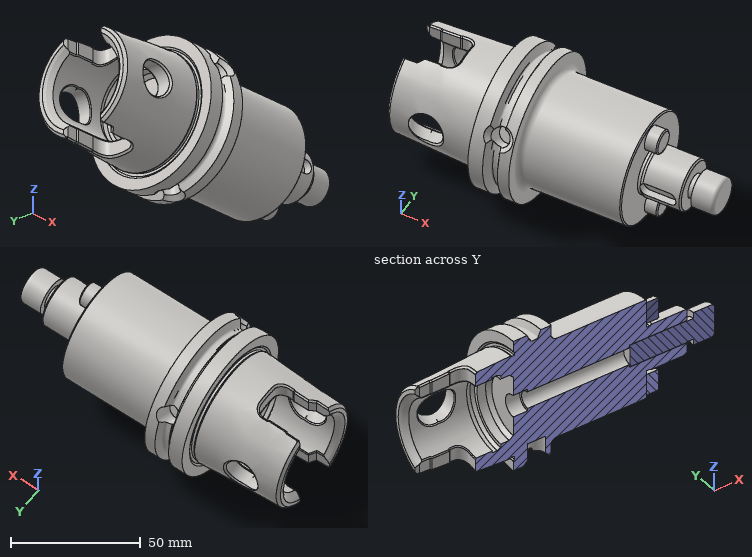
import cadquery as cq
import math


SHANK_LENGTH = 40.0
GAUGE_RADIUS = 25.0
TAPER_SLOPE = 0.05
SHANK_CHAMFER = 1.2
NECK_RADIUS = 24.5
NECK_LENGTH = 1.2
FACE_RELIEF_RADIUS = 26.6
FACE_RELIEF_SLOPE_WIDTH = 0.8
FACE_RELIEF_DEPTH = 0.5

MOUTH_RADIUS = 20.1
LEAD_IN_RADIUS = 18.9
LEAD_IN_DEPTH = 1.0
BORE_RADIUS = 17.3
BORE_CONE_DEPTH = 2.0
UNDERCUT_RADIUS = 18.1
UNDERCUT_START_X = -9.7
UNDERCUT_CONE_X = -7.5
UNDERCUT_END_X = -6.0
RECESS_RADIUS = 15.7
RECESS_FLOOR_RADIUS = 14.2
RECESS_FLOOR_X = 0.0
RECESS_CONE_LENGTH = 1.9

COOLANT_BORE_RADIUS = 5.1
COOLANT_BORE_DEPTH = 6.7
COOLANT_PASSAGE_RADIUS = 3.9

CROSS_HOLE_X = -22.4
CROSS_HOLE_RADIUS = 7.2
CROSS_HOLE_CHAMFER = 0.8
CROSS_HOLE_LEAN = 22.0
LEANING_HOLE_LENGTH = 12.1
CROSS_HOLE_INNER_CHAMFER = 0.4

SLOT_END_X = -18.0
SLOT_HALF_WIDTH = 7.8
SLOT_CORNER_RADIUS = 3.9
SLOT_RELIEF = 0.4
SLOT_RELIEF_START_X = -24.5
SLOT_RELIEF_RAMP = 0.7
SLOT_LEAD_START_X = -33.5
SLOT_LEAD_RAMP = 0.8
MOUTH_CHAMFER_WIDTH = 0.8
MOUTH_CHAMFER_LENGTH = 1.6
MOUTH_STEP_Y = -10.1
MOUTH_STEP_X = -33.7
MOUTH_STEP_RAMP = 2.3
SLOT_CHAMFER = 0.8
SLOT_INNER_CHAMFER = 0.4

FLANGE_RADIUS = 31.5
FLANGE_WIDTH = 18.0
GROOVE_START_X = 6.5
GROOVE_WALL_X = 8.1
GROOVE_WALL_RADIUS = 28.6
GROOVE_FLOOR_START_X = 8.9
GROOVE_FLOOR_END_X = 10.5
GROOVE_FLOOR_RADIUS = 27.8
GROOVE_FLANK_X = 11.7
GROOVE_FLANK_RADIUS = 28.5
GROOVE_END_X = 13.0
GROOVE_BLEND_RADIUS = 1.3

NOTCH_X = 11.0
NOTCH_RADIUS = 4.0
NOTCH_FLOOR_DISTANCE = 21.3
NOTCH_SINK_RADIUS = 6.2
PLAIN_NOTCH_ANGLES = [30]
SUNK_NOTCH_ANGLES = [150, 270]

BODY_RADIUS = 24.0
BODY_END_X = 63.0
BODY_FILLET = 2.8
BODY_CHAMFER = 0.5

PILOT_RADIUS = 11.0
PILOT_END_X = 82.0
PILOT_CHAMFER = 0.7
PILOT_RELIEF_RADIUS = 10.7
PILOT_RELIEF_LENGTH = 1.2
PILOT_RELIEF_RAMP = 1.2
KEYWAY_START_X = 64.1
KEYWAY_END_X = 80.0
KEYWAY_WIDTH = 6.1
KEYWAY_DEPTH = 3.5

SCREW_SHANK_RADIUS = 5.1
SCREW_SHANK_LENGTH = 30.0
SCREW_HEAD_RADIUS = 8.0
SCREW_HEAD_START_X = 84.9
OVERALL_LENGTH = 135.0
SCREW_END_X = OVERALL_LENGTH - SHANK_LENGTH
SCREW_HEAD_FILLET = 1.6

PIN_RADIUS = 5.1
PIN_HEIGHT = 5.7
PIN_OFFSET = 17.4
PIN_CHAMFER = 0.5

SHANK_END_X = -SHANK_LENGTH
SCREW_TIP_X = SCREW_HEAD_START_X - SCREW_SHANK_LENGTH
TOLERANCE = 0.01


def revolve_profile(sketch):
    """Turn an outline drawn as (x, radius) about the X axis."""
    return sketch.close().revolve(360, (0, 0, 0), (1, 0, 0))


def rod(start_x, end_x, radius):
    """Solid cylinder along the X axis."""
    return cq.Workplane("YZ", origin=(start_x, 0, 0)).circle(radius).extrude(end_x - start_x)


def taper_radius(x):
    return GAUGE_RADIUS + TAPER_SLOPE * (x + NECK_LENGTH)


def bore_radius(x):
    return BORE_RADIUS


def make_shank():
    chamfer_x = SHANK_END_X + SHANK_CHAMFER
    outline = (
        cq.Workplane("XZ")
        .moveTo(SHANK_END_X, 0)
        .lineTo(SHANK_END_X, taper_radius(chamfer_x) - SHANK_CHAMFER)
        .lineTo(chamfer_x, taper_radius(chamfer_x))
        .lineTo(-NECK_LENGTH, GAUGE_RADIUS)
        .lineTo(-NECK_LENGTH / 2, NECK_RADIUS)
        .lineTo(FACE_RELIEF_DEPTH, NECK_RADIUS)
        .lineTo(FACE_RELIEF_DEPTH, 0)
    )
    return revolve_profile(outline)


def make_bore_mouth():
    """Two cones that open the bore; the inner one runs on to a point inside the bore."""
    cone_start_x = SHANK_END_X + LEAD_IN_DEPTH
    apex_x = cone_start_x + BORE_CONE_DEPTH * LEAD_IN_RADIUS / (LEAD_IN_RADIUS - BORE_RADIUS)
    outline = (
        cq.Workplane("XZ")
        .moveTo(SHANK_END_X, 0)
        .lineTo(SHANK_END_X, MOUTH_RADIUS)
        .lineTo(cone_start_x, LEAD_IN_RADIUS)
        .lineTo(apex_x, 0)
    )
    return revolve_profile(outline)


def make_shank_bore():
    outline = (
        cq.Workplane("XZ")
        .moveTo(SHANK_END_X, 0)
        .lineTo(SHANK_END_X, BORE_RADIUS)
        .lineTo(UNDERCUT_START_X, BORE_RADIUS)
        .lineTo(UNDERCUT_START_X, UNDERCUT_RADIUS)
        .lineTo(UNDERCUT_CONE_X, UNDERCUT_RADIUS)
        .lineTo(UNDERCUT_END_X, BORE_RADIUS)
        .lineTo(UNDERCUT_END_X, RECESS_RADIUS)
        .lineTo(RECESS_FLOOR_X - RECESS_CONE_LENGTH, RECESS_RADIUS)
        .lineTo(RECESS_FLOOR_X, RECESS_FLOOR_RADIUS)
        .lineTo(RECESS_FLOOR_X, 0)
    )
    return revolve_profile(outline)


def make_drive_slot():
    corner_y = SLOT_HALF_WIDTH + SLOT_RELIEF
    corner_x = SLOT_END_X - SLOT_CORNER_RADIUS
    relief_x = SLOT_RELIEF_START_X + SLOT_RELIEF_RAMP
    back_y = corner_y - SLOT_CORNER_RADIUS
    return (
        cq.Workplane("XY", origin=(0, 0, -FLANGE_RADIUS))
        .moveTo(SHANK_END_X, MOUTH_STEP_Y)
        .lineTo(SHANK_END_X, corner_y + MOUTH_CHAMFER_WIDTH)
        .lineTo(SHANK_END_X + MOUTH_CHAMFER_LENGTH, corner_y)
        .lineTo(SLOT_LEAD_START_X, corner_y)
        .lineTo(SLOT_LEAD_START_X + SLOT_LEAD_RAMP, SLOT_HALF_WIDTH)
        .lineTo(SLOT_RELIEF_START_X, SLOT_HALF_WIDTH)
        .lineTo(relief_x, corner_y)
        .lineTo(corner_x, corner_y)
        .radiusArc((SLOT_END_X, back_y), SLOT_CORNER_RADIUS)
        .lineTo(SLOT_END_X, -back_y)
        .radiusArc((corner_x, -corner_y), SLOT_CORNER_RADIUS)
        .lineTo(relief_x, -corner_y)
        .lineTo(SLOT_RELIEF_START_X, -SLOT_HALF_WIDTH)
        .lineTo(MOUTH_STEP_X + MOUTH_STEP_RAMP, -SLOT_HALF_WIDTH)
        .lineTo(MOUTH_STEP_X, MOUTH_STEP_Y)
        .close()
        .extrude(2 * FLANGE_RADIUS)
    )


def make_cross_hole():
    return (
        cq.Workplane("XZ", origin=(CROSS_HOLE_X, FLANGE_RADIUS, 0))
        .circle(CROSS_HOLE_RADIUS)
        .extrude(2 * FLANGE_RADIUS)
    )


def make_leaning_hole(side):
    """Bore that enters the wall with the cross hole on one Y side and leans towards -X."""
    lean = math.radians(CROSS_HOLE_LEAN)
    outer_point = cq.Vector(CROSS_HOLE_X, side * taper_radius(CROSS_HOLE_X), 0)
    inward = cq.Vector(-math.sin(lean), -side * math.cos(lean), 0)
    return cq.Workplane(
        cq.Solid.makeCylinder(CROSS_HOLE_RADIUS, LEANING_HOLE_LENGTH, outer_point, inward)
    )


def faces_z(edge):
    """True for an edge that is nearer to the Z axis than to the Y axis, such as a slot rim."""
    middle = edge.Center()
    return abs(middle.z) > abs(middle.y)


def lies_on(edge, radius_at):
    """True for an edge on the turned surface whose radius at X is radius_at(X)."""
    points = [edge.positionAt(t) for t in (0.1, 0.5, 0.9)]
    return all(abs(math.hypot(p.y, p.z) - radius_at(p.x)) < TOLERANCE for p in points)


def is_seam(edge):
    """True for the straight seam that a turned surface has at Y = 0."""
    return abs(edge.positionAt(0).y) + abs(edge.positionAt(1).y) < TOLERANCE


def chamfer_rims(shank, radius_at, of_slot, size):
    """Chamfer the rims that the slot, or else the cross holes, leave on one turned surface."""
    rims = [
        edge
        for edge in shank.edges().vals()
        if edge.geomType() != "CIRCLE"
        and edge.Center().x < SLOT_END_X + SLOT_CHAMFER
        and faces_z(edge) == of_slot
        and lies_on(edge, radius_at)
        and not is_seam(edge)
    ]
    return shank.newObject(rims).chamfer(size)


def make_hollow_shank():
    shank = make_shank().cut(make_shank_bore()).cut(make_cross_hole())
    shank = chamfer_rims(shank, taper_radius, False, CROSS_HOLE_CHAMFER)
    for side in (1, -1):
        shank = shank.cut(make_leaning_hole(side))
    shank = chamfer_rims(shank, bore_radius, False, CROSS_HOLE_INNER_CHAMFER)
    shank = shank.cut(make_drive_slot())
    shank = chamfer_rims(shank, taper_radius, True, SLOT_CHAMFER)
    shank = chamfer_rims(shank, bore_radius, True, SLOT_INNER_CHAMFER)
    return shank.cut(make_bore_mouth())


def make_flange():
    outline = (
        cq.Workplane("XZ")
        .moveTo(0, 0)
        .lineTo(0, FLANGE_RADIUS)
        .lineTo(GROOVE_START_X, FLANGE_RADIUS)
        .lineTo(GROOVE_WALL_X, GROOVE_WALL_RADIUS)
        .radiusArc(
            (GROOVE_FLOOR_START_X, GROOVE_FLOOR_RADIUS),
            -(GROOVE_WALL_RADIUS - GROOVE_FLOOR_RADIUS),
        )
        .lineTo(GROOVE_FLOOR_END_X, GROOVE_FLOOR_RADIUS)
        .radiusArc((GROOVE_FLANK_X, GROOVE_FLANK_RADIUS), -GROOVE_BLEND_RADIUS)
        .lineTo(GROOVE_END_X, FLANGE_RADIUS)
        .lineTo(FLANGE_WIDTH, FLANGE_RADIUS)
        .lineTo(FLANGE_WIDTH, 0)
    )
    return revolve_profile(outline)


def make_face_relief():
    """Ring with a sloped outer wall, cut around the neck."""
    outline = (
        cq.Workplane("XZ")
        .moveTo(0, NECK_RADIUS)
        .lineTo(0, FACE_RELIEF_RADIUS)
        .lineTo(FACE_RELIEF_DEPTH, FACE_RELIEF_RADIUS - FACE_RELIEF_SLOPE_WIDTH)
        .lineTo(FACE_RELIEF_DEPTH, NECK_RADIUS)
    )
    return revolve_profile(outline)


def make_notch(angle, sunk):
    """Radial hole into the groove, with an optional 45 degree countersink."""
    sink_depth = NOTCH_SINK_RADIUS - NOTCH_RADIUS
    notch = (
        cq.Workplane("XY", origin=(NOTCH_X, 0, NOTCH_FLOOR_DISTANCE))
        .circle(NOTCH_RADIUS)
        .extrude(FLANGE_RADIUS + sink_depth - NOTCH_FLOOR_DISTANCE)
    )
    if sunk:
        sink = (
            cq.Workplane("XY", origin=(NOTCH_X, 0, FLANGE_RADIUS - sink_depth))
            .circle(NOTCH_RADIUS)
            .workplane(offset=2 * sink_depth)
            .circle(NOTCH_SINK_RADIUS + sink_depth)
            .loft()
        )
        notch = notch.union(sink)
    return notch.rotate((0, 0, 0), (1, 0, 0), angle - 90)


def make_body():
    fillet_end_x = FLANGE_WIDTH + BODY_FILLET
    outline = (
        cq.Workplane("XZ")
        .moveTo(0, 0)
        .lineTo(0, BODY_RADIUS)
        .lineTo(FLANGE_WIDTH, BODY_RADIUS)
        .lineTo(FLANGE_WIDTH, BODY_RADIUS + BODY_FILLET)
        .radiusArc((fillet_end_x, BODY_RADIUS), -BODY_FILLET)
        .lineTo(BODY_END_X - BODY_CHAMFER, BODY_RADIUS)
        .lineTo(BODY_END_X, BODY_RADIUS - BODY_CHAMFER)
        .lineTo(BODY_END_X, 0)
    )
    return revolve_profile(outline)


def make_pilot():
    relief_end_x = BODY_END_X + PILOT_RELIEF_LENGTH
    outline = (
        cq.Workplane("XZ")
        .moveTo(BODY_END_X, 0)
        .lineTo(BODY_END_X, PILOT_RELIEF_RADIUS)
        .lineTo(relief_end_x, PILOT_RELIEF_RADIUS)
        .lineTo(relief_end_x + PILOT_RELIEF_RAMP, PILOT_RADIUS)
        .lineTo(PILOT_END_X - PILOT_CHAMFER, PILOT_RADIUS)
        .lineTo(PILOT_END_X, PILOT_RADIUS - PILOT_CHAMFER)
        .lineTo(PILOT_END_X, 0)
    )
    return revolve_profile(outline)


def make_keyway():
    """Round-ended pocket in the -Y side of the pilot."""
    middle_x = (KEYWAY_START_X + KEYWAY_END_X) / 2
    floor_y = KEYWAY_DEPTH - PILOT_RADIUS
    return (
        cq.Workplane("XZ", origin=(middle_x, floor_y, 0))
        .slot2D(KEYWAY_END_X - KEYWAY_START_X, KEYWAY_WIDTH)
        .extrude(2 * KEYWAY_DEPTH)
    )


def make_holder():
    holder = make_flange().cut(make_face_relief())
    holder = holder.union(make_body()).union(make_pilot())
    holder = holder.cut(make_shank_bore())
    holder = holder.union(make_hollow_shank())
    for angle in PLAIN_NOTCH_ANGLES:
        holder = holder.cut(make_notch(angle, sunk=False))
    for angle in SUNK_NOTCH_ANGLES:
        holder = holder.cut(make_notch(angle, sunk=True))
    holder = holder.cut(make_keyway())
    holder = holder.cut(rod(RECESS_FLOOR_X, RECESS_FLOOR_X + COOLANT_BORE_DEPTH, COOLANT_BORE_RADIUS))
    holder = holder.cut(rod(RECESS_FLOOR_X, SCREW_TIP_X, COOLANT_PASSAGE_RADIUS))
    return holder.cut(rod(SCREW_TIP_X, PILOT_END_X, SCREW_SHANK_RADIUS))


def make_screw():
    head = rod(SCREW_HEAD_START_X, SCREW_END_X, SCREW_HEAD_RADIUS)
    head = head.faces(">X").edges().fillet(SCREW_HEAD_FILLET)
    return head.union(rod(SCREW_TIP_X, SCREW_HEAD_START_X, SCREW_SHANK_RADIUS))


def make_drive_pin(z):
    pin = (
        cq.Workplane("YZ", origin=(BODY_END_X, 0, z))
        .circle(PIN_RADIUS)
        .extrude(PIN_HEIGHT)
    )
    return pin.faces(">X").edges().chamfer(PIN_CHAMFER)


holder = make_holder()
screw = make_screw()
drive_pins = [make_drive_pin(z) for z in (PIN_OFFSET, -PIN_OFFSET)]

result = cq.Compound.makeCompound(
    [holder.val(), screw.val(), *[pin.val() for pin in drive_pins]]
)